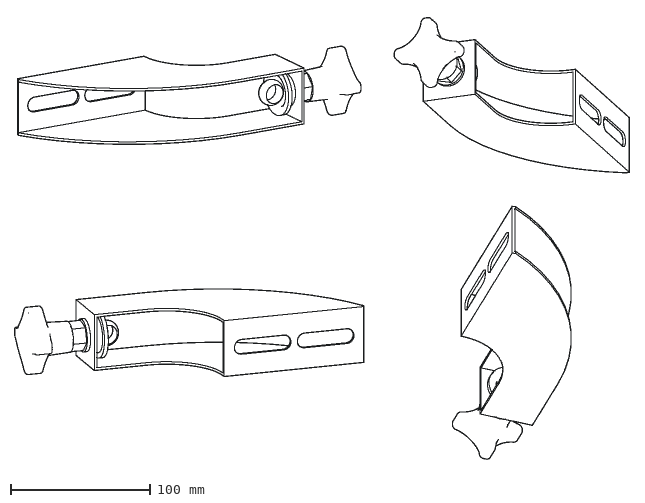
import cadquery as cq
import math


SHEET = 2.0
BRACKET_WIDTH = 85.0
BRACKET_HEIGHT = 42.0
BRACKET_LENGTH = 190.01
END_PLATE_WIDTH = 40.0
INNER_ARC_RADIUS = 43.0
INNER_ARC_START = 40.0
OUTER_ARC_RADIUS = 153.0
OUTER_ARC_START = 54.2
WALL_END_SETBACK = 0.5

SLOT_WIDTH = 11.0
SLOT_LENGTH = 43.0
SLOT_CENTRES = (-112.4, -160.4)

AXIS_X = BRACKET_WIDTH - END_PLATE_WIDTH / 2

WASHER_RADIUS = 12.0
WASHER_THICKNESS = 2.5
HEX_ACROSS_FLATS = 19.0
HEX_LENGTH = 10.3
HEX_TURN = 14.0

KNOB_TOP = 48.0
KNOB_BASE = WASHER_THICKNESS + HEX_LENGTH
KNOB_RADIUS = 25.0
HUB_END_RADIUS = 11.3
HUB_RADIUS = 12.1
HUB_TOP = 30.5
TIP_BOTTOM = 33.7
TIP_TOP = 45.1
CROWN_RADIUS = 12.0
LOBE_COUNT = 4
LOBE_WIDTH = 8.4
LOBE_CORNER_RADIUS = 3.4
LOBE_SIDE_REACH = 22.0
KNOB_EDGE_FILLET = 1.3
HUB_ROOT_FILLET = 1.2

CUP_DEPTH = 9.6
CUP_BACK_RADIUS = 12.6
CUP_NECK_RADIUS = 13.6
CUP_BACK_FILLET = 1.8
FLANGE_RADIUS = 17.5
FLANGE_THICKNESS = 3.0
BORE_RADIUS = 11.2
BORE_LIP_FILLET = 2.8
BORE_FLOOR_FILLET = 1.5

RING_OUTER_RADIUS = 9.5
RING_INNER_RADIUS = 7.0
RING_WIDTH = 10.0
RING_CENTRE = -15.7

RING_BACK = RING_CENTRE + RING_OUTER_RADIUS
CUP_BACK = -SHEET
CUP_FRONT = CUP_BACK - CUP_DEPTH


def arc_middle(centre, radius, degrees):
    """Point on a circle at the given angle."""
    angle = math.radians(degrees)
    return (centre[0] + radius * math.cos(angle), centre[1] + radius * math.sin(angle))


def disc_along_axis(start, length, radius):
    """Cylinder on the knob axis, from Y = start towards +Y."""
    disc = cq.Workplane("XZ", origin=(AXIS_X, start, 0)).circle(radius)
    return disc.extrude(-length)


def revolve_on_axis(profile):
    """Turn a closed (radius, Y) profile into a solid around the knob axis."""
    turned = profile.close().revolve(360, (0, 0, 0), (0, 1, 0))
    return turned.translate((AXIS_X, 0, 0))


def make_bracket():
    inner_centre = (SHEET, -INNER_ARC_START)
    wall_top = -INNER_ARC_START - INNER_ARC_RADIUS
    outer_centre = (BRACKET_WIDTH - OUTER_ARC_RADIUS, -OUTER_ARC_START)
    tip_angle = -math.degrees(math.asin((BRACKET_LENGTH - OUTER_ARC_START) / OUTER_ARC_RADIUS))
    tip = arc_middle(outer_centre, OUTER_ARC_RADIUS, tip_angle)

    block = (
        cq.Workplane("XY", origin=(0, 0, -BRACKET_HEIGHT / 2))
        .moveTo(BRACKET_WIDTH - END_PLATE_WIDTH, 0)
        .lineTo(BRACKET_WIDTH, 0)
        .lineTo(BRACKET_WIDTH, -OUTER_ARC_START)
        .threePointArc(arc_middle(outer_centre, OUTER_ARC_RADIUS, tip_angle / 2), tip)
        .lineTo(0, -BRACKET_LENGTH + WALL_END_SETBACK)
        .lineTo(0, wall_top)
        .lineTo(SHEET, wall_top)
        .threePointArc(
            arc_middle(inner_centre, INNER_ARC_RADIUS, -45),
            (BRACKET_WIDTH - END_PLATE_WIDTH, -INNER_ARC_START),
        )
        .close()
        .extrude(BRACKET_HEIGHT)
    )
    channel = cq.Workplane("XY").box(
        BRACKET_WIDTH, BRACKET_LENGTH, BRACKET_HEIGHT - 2 * SHEET
    ).translate((SHEET + BRACKET_WIDTH / 2, -SHEET - BRACKET_LENGTH / 2, 0))
    slots = (
        cq.Workplane("YZ")
        .pushPoints([(y, 0) for y in SLOT_CENTRES])
        .slot2D(SLOT_LENGTH, SLOT_WIDTH)
        .extrude(SHEET)
    )
    return block.cut(channel).cut(slots)


def make_washer():
    return disc_along_axis(0, WASHER_THICKNESS, WASHER_RADIUS)


def make_hexagon():
    corner_diameter = HEX_ACROSS_FLATS / math.cos(math.radians(30))
    return (
        cq.Workplane("XZ")
        .polygon(6, corner_diameter)
        .extrude(-HEX_LENGTH)
        .rotate((0, 0, 0), (0, 1, 0), -HEX_TURN)
        .translate((AXIS_X, WASHER_THICKNESS, 0))
    )


def make_star():
    """Prism with rounded lobes joined by concave arcs."""
    pitch = 360 / LOBE_COUNT
    half = LOBE_WIDTH / 2
    waist_radius = LOBE_SIDE_REACH * math.sqrt(2) - (LOBE_SIDE_REACH - half)

    def turned(point, lobe):
        angle = math.radians(lobe * pitch)
        x, y = point
        return (
            x * math.cos(angle) - y * math.sin(angle),
            x * math.sin(angle) + y * math.cos(angle),
        )

    corner_inset = LOBE_CORNER_RADIUS * (1 - math.sqrt(0.5))
    star = cq.Workplane("XZ").moveTo(LOBE_SIDE_REACH, -half)
    for lobe in range(LOBE_COUNT):
        star = (
            star
            .threePointArc(
                turned((KNOB_RADIUS - corner_inset, -half + corner_inset), lobe),
                turned((KNOB_RADIUS, -half + LOBE_CORNER_RADIUS), lobe),
            )
            .lineTo(*turned((KNOB_RADIUS, half - LOBE_CORNER_RADIUS), lobe))
            .threePointArc(
                turned((KNOB_RADIUS - corner_inset, half - corner_inset), lobe),
                turned((LOBE_SIDE_REACH, half), lobe),
            )
            .threePointArc(
                arc_middle((0, 0), waist_radius, (lobe + 0.5) * pitch),
                turned((LOBE_SIDE_REACH, -half), lobe + 1),
            )
        )
    return star.close().extrude(-KNOB_TOP).translate((AXIS_X, 0, 0))


def make_knob():
    bottom_slope = (TIP_BOTTOM - HUB_TOP) / (KNOB_RADIUS - HUB_RADIUS)
    top_slope = (KNOB_TOP - TIP_TOP) / (KNOB_RADIUS - CROWN_RADIUS)
    blank_radius = KNOB_RADIUS + KNOB_EDGE_FILLET
    envelope = revolve_on_axis(
        cq.Workplane("XY")
        .moveTo(0, HUB_TOP)
        .lineTo(HUB_RADIUS, HUB_TOP)
        .lineTo(blank_radius, HUB_TOP + bottom_slope * (blank_radius - HUB_RADIUS))
        .lineTo(blank_radius, KNOB_TOP - top_slope * (blank_radius - CROWN_RADIUS))
        .lineTo(CROWN_RADIUS, KNOB_TOP)
        .lineTo(0, KNOB_TOP)
    )
    head = envelope.intersect(make_star())
    rim_edges = head.edges().filter(lambda edge: edge.geomType() not in ("LINE", "CIRCLE"))
    head = rim_edges.fillet(KNOB_EDGE_FILLET)
    hub = revolve_on_axis(
        cq.Workplane("XY")
        .moveTo(0, KNOB_BASE)
        .lineTo(HUB_END_RADIUS, KNOB_BASE)
        .lineTo(HUB_RADIUS, HUB_TOP)
        .lineTo(0, HUB_TOP)
    )
    root = cq.selectors.NearestToPointSelector((AXIS_X, HUB_TOP, 0))
    knob = head.union(hub)
    return knob.edges(root).fillet(HUB_ROOT_FILLET)


def make_cup():
    flange_back = CUP_FRONT + FLANGE_THICKNESS
    return revolve_on_axis(
        cq.Workplane("XY")
        .moveTo(0, CUP_BACK)
        .lineTo(CUP_BACK_RADIUS - CUP_BACK_FILLET, CUP_BACK)
        .radiusArc((CUP_BACK_RADIUS, CUP_BACK - CUP_BACK_FILLET), CUP_BACK_FILLET)
        .lineTo(CUP_NECK_RADIUS, flange_back)
        .lineTo(FLANGE_RADIUS, flange_back)
        .lineTo(FLANGE_RADIUS, CUP_FRONT)
        .lineTo(BORE_RADIUS + BORE_LIP_FILLET, CUP_FRONT)
        .radiusArc((BORE_RADIUS, CUP_FRONT + BORE_LIP_FILLET), BORE_LIP_FILLET)
        .lineTo(BORE_RADIUS, RING_BACK - BORE_FLOOR_FILLET)
        .radiusArc((BORE_RADIUS - BORE_FLOOR_FILLET, RING_BACK), -BORE_FLOOR_FILLET)
        .lineTo(0, RING_BACK)
    )


def make_ring():
    """D-section ring around an X axis: flat bore, crowned outside."""
    half = RING_WIDTH / 2
    ring = (
        cq.Workplane("XY")
        .moveTo(-half, RING_INNER_RADIUS)
        .threePointArc((0, RING_OUTER_RADIUS), (half, RING_INNER_RADIUS))
        .close()
        .revolve(360, (0, 0, 0), (1, 0, 0))
    )
    return ring.translate((AXIS_X, RING_CENTRE, 0))


bracket = make_bracket()
washer = make_washer()
hexagon = make_hexagon()
knob = make_knob()
cup = make_cup()
ring = make_ring()

result = cq.Compound.makeCompound(
    [bracket.val(), washer.val(), hexagon.val(), knob.val(), cup.val(), ring.val()]
)